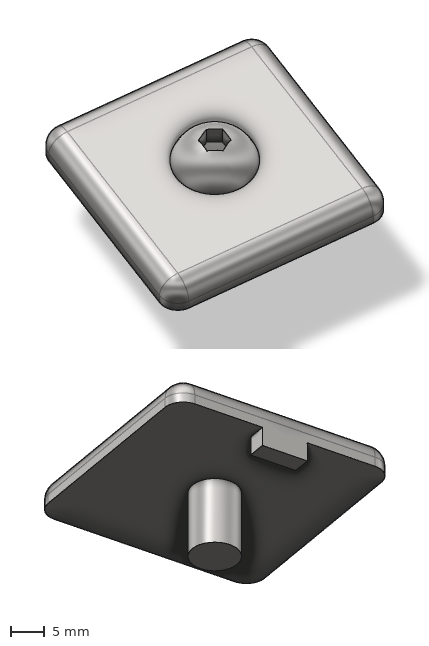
import cadquery as cq
import math

PLATE_SIDE = 38.1
PLATE_THICKNESS = 4.75
EDGE_RADIUS = 3.15
LUG_LENGTH = EDGE_RADIUS
LUG_WIDTH = 7.92
LUG_HEIGHT = 3.15

SHANK_DIAMETER = 7.92
SHANK_PROJECTION = 11.13
HEAD_DIAMETER = 13.25
HEAD_HEIGHT = 4.72
SOCKET_ACROSS_FLATS = 4.1
SOCKET_DEPTH = 3.05


def make_plate():
    """Square plate on Z = 0, rounded above, with an edge lug and a central hole."""
    plate = (
        cq.Workplane("XY")
        .box(PLATE_SIDE, PLATE_SIDE, PLATE_THICKNESS, centered=(True, True, False))
        .edges("|Z or >Z")
        .fillet(EDGE_RADIUS)
    )
    lug = (
        cq.Workplane("XY")
        .box(LUG_LENGTH, LUG_WIDTH, LUG_HEIGHT, centered=(False, True, False))
        .translate((-PLATE_SIDE / 2, 0, -LUG_HEIGHT))
    )
    hole = cq.Workplane("XY").circle(SHANK_DIAMETER / 2).extrude(PLATE_THICKNESS)
    return plate.union(lug).cut(hole)


def make_screw():
    """Screw along Z with a spherical head whose crown is opened by a hexagon socket."""
    head_radius = HEAD_DIAMETER / 2
    shank_radius = SHANK_DIAMETER / 2
    socket_inradius = SOCKET_ACROSS_FLATS / 2
    head_bottom = PLATE_THICKNESS
    rim_z = head_bottom + HEAD_HEIGHT

    base_to_center = (head_radius**2 - socket_inradius**2 - HEAD_HEIGHT**2) / (2 * HEAD_HEIGHT)
    center_z = head_bottom - base_to_center
    dome_radius = math.hypot(head_radius, base_to_center)
    crown_z = center_z + dome_radius

    screw = (
        cq.Workplane("XZ")
        .moveTo(0, -SHANK_PROJECTION)
        .lineTo(shank_radius, -SHANK_PROJECTION)
        .lineTo(shank_radius, head_bottom)
        .lineTo(head_radius, head_bottom)
        .threePointArc((socket_inradius, rim_z), (0, crown_z))
        .close()
        .revolve(360, (0, 0, 0), (0, 1, 0))
    )
    across_corners = SOCKET_ACROSS_FLATS / math.cos(math.pi / 6)
    socket_floor = rim_z - SOCKET_DEPTH
    socket = (
        cq.Workplane("XY")
        .workplane(offset=socket_floor)
        .polygon(6, across_corners)
        .extrude(crown_z - socket_floor)
    )
    return screw.cut(socket)


plate = make_plate()
screw = make_screw()
result = cq.Compound.makeCompound([plate.val(), screw.val()])